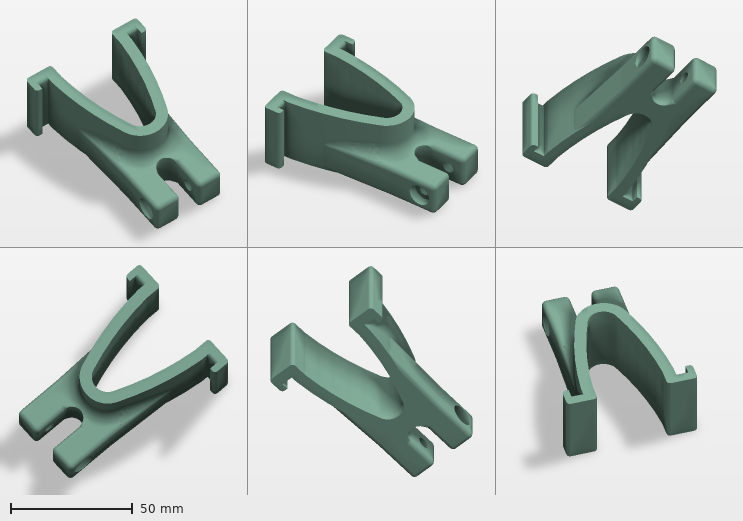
import cadquery as cq
import math

length = 77.0
width = 55.8
height = 30.0

wall = 5.0
tip_radius = 6.55
tip_center_x = 42.0
flank_radius = 128.6
tip_angle = math.radians(22)
flank_start_angle = math.radians(5)

hook_length = 8.0
hook_web = 5.0
lip_thickness = 2.9
corner_radius = 1.55

block_height = 15.0
block_half_width = 16.5
block_edge_radius = 2.0
taper_start_x = 23.1
taper_end_x = 54.8
taper_start_half_width = 17.7
fork_half_gap = 4.6
fork_center_x = 61.45
blend_radius = 5.0
blend_root_depth = 1.55
blend_start_angle = math.radians(11.8)
blend_stations = 6
runout_x = 58.0
runout_y = 3.3
runout_size = 0.04

bolt_x = 69.45
bolt_z = 7.55
bolt_diameter = 5.1
bolt_head_diameter = 9.6
bolt_head_depth = 4.0


def wall_point(angle, offset):
    """Point on the +Y side of the inner wall curve, moved outward by offset.

    The angle is that of the surface normal, measured from +Y towards +X."""
    x, y, radius = tip_center_x, 0.0, tip_radius
    if angle < tip_angle:
        radius = flank_radius
        x -= (flank_radius - tip_radius) * math.sin(tip_angle)
        y -= (flank_radius - tip_radius) * math.cos(tip_angle)
    radius += offset
    return (x + radius * math.sin(angle), y + radius * math.cos(angle))


def mirrored(point):
    return (point[0], -point[1])


def add_curve(sketch, offset):
    """Continue a sketch from the +Y flank start, around the tip, to the -Y flank start."""
    start = wall_point(flank_start_angle, offset)
    middle = wall_point((flank_start_angle + tip_angle) / 2, offset)
    joint = wall_point(tip_angle, offset)
    tip = wall_point(math.pi / 2, offset)
    return (
        sketch.threePointArc(middle, joint)
        .threePointArc(tip, mirrored(joint))
        .threePointArc(mirrored(middle), mirrored(start))
    )


def region_inside(offset, depth):
    """Solid filling the wall curve back to the open end."""
    start = wall_point(flank_start_angle, offset)
    sketch = cq.Workplane("XY").moveTo(0, -start[1]).lineTo(0, start[1]).lineTo(*start)
    return add_curve(sketch, offset).close().extrude(depth)


def box(x0, x1, y0, y1, z1):
    return cq.Workplane("XY").box(x1 - x0, y1 - y0, z1, centered=False).translate((x0, y0, 0))


def make_hook():
    inner_y = wall_point(flank_start_angle, 0)[1]
    slot_y = wall_point(flank_start_angle, wall)[1]
    lip_y = width / 2 - lip_thickness
    hook = box(0, hook_length, inner_y, width / 2, height)
    hook = hook.edges("|Z").edges("<X or >Y").fillet(corner_radius)
    hook = hook.cut(box(hook_web, hook_length, slot_y, lip_y, height))
    rounding = (
        cq.Workplane("XZ", origin=(0, lip_y, 0))
        .moveTo(hook_web, height)
        .lineTo(hook_web, height - corner_radius)
        .radiusArc((hook_web - corner_radius, height), -corner_radius)
        .close()
        .extrude(lip_y - slot_y)
    )
    return hook.cut(rounding)


def make_block():
    """Fork block with all its outer edges rounded and the gap still square-ended."""
    outline = [
        (taper_start_x, -taper_start_half_width),
        (taper_end_x, -block_half_width),
        (length, -block_half_width),
        (length, block_half_width),
        (taper_end_x, block_half_width),
        (taper_start_x, taper_start_half_width),
    ]
    block = cq.Workplane("XY").polyline(outline).close().extrude(block_height)
    block = block.cut(box(fork_center_x, length, -fork_half_gap, fork_half_gap, block_height))
    block = block.edges("|Z and >X").fillet(block_edge_radius)
    rims = block.faces("<Z or >Z").edges("not <X")
    rims = rims.filter(lambda edge: abs(edge.Center().x - fork_center_x) > block_edge_radius)
    return rims.fillet(block_edge_radius)


def make_tip_blend():
    """Concave fillet between the block top and the wall, revolved around the tip."""
    radius = tip_radius + wall
    top = block_height + blend_radius
    profile = (
        cq.Workplane("XZ")
        .moveTo(radius - blend_root_depth, block_height - blend_root_depth)
        .lineTo(radius + blend_radius, block_height - blend_root_depth)
        .lineTo(radius + blend_radius, block_height)
        .radiusArc((radius, top), blend_radius)
        .lineTo(radius - blend_root_depth, top)
        .close()
    )
    blend = profile.revolve(180 - 2 * math.degrees(tip_angle), (0, 0, 0), (0, 1, 0))
    sweep_start = math.degrees(tip_angle) - 90
    return blend.rotate((0, 0, 0), (0, 0, 1), sweep_start).translate((tip_center_x, 0, 0))


def flank_blend_section(angle):
    """Section of the fillet where its ball touches the wall and the rounded block edge."""
    x, y = wall_point(angle, wall)
    center_x, center_y = wall_point(angle, wall + blend_radius)
    slope = (taper_start_half_width - block_half_width) / (taper_end_x - taper_start_x)
    axis_y = block_half_width + slope * (taper_end_x - center_x) - block_edge_radius
    axis_z = block_height - block_edge_radius
    reach = blend_radius + block_edge_radius
    side_step = max(0.0, center_y - axis_y)
    rise = math.sqrt(reach**2 - side_step**2)
    center_z = axis_z + rise
    ball_angle = math.asin(side_step / reach)
    foot = (
        blend_radius * (1 - math.sin(ball_angle)),
        center_z - blend_radius * math.cos(ball_angle),
    )
    middle_angle = (math.pi / 2 + ball_angle) / 2
    middle = (
        blend_radius * (1 - math.sin(middle_angle)),
        center_z - blend_radius * math.cos(middle_angle),
    )
    plane = cq.Plane(
        origin=(x, y, 0),
        xDir=(math.sin(angle), math.cos(angle), 0),
        normal=(math.cos(angle), -math.sin(angle), 0),
    )
    return (
        cq.Workplane(plane)
        .moveTo(-blend_root_depth, foot[1] - blend_root_depth)
        .lineTo(*foot)
        .threePointArc(middle, (0, center_z))
        .lineTo(-blend_root_depth, center_z)
        .close()
        .val()
    )


def make_flank_blend():
    step = (tip_angle - blend_start_angle) / (blend_stations - 1)
    sections = [flank_blend_section(blend_start_angle + i * step) for i in range(blend_stations)]
    return cq.Workplane(cq.Solid.makeLoft(sections))


def make_gap():
    """Round-ended gap between the prongs."""
    end = cq.Workplane("XY").center(fork_center_x, 0).circle(fork_half_gap).extrude(height)
    return box(fork_center_x, length, -fork_half_gap, fork_half_gap, height).union(end)


def gap_edge_section(x, y, size):
    """Waste outside a rounded top edge of the gap, on a plane across X."""
    return (
        cq.Workplane("YZ", origin=(x, y, block_height))
        .moveTo(size, 0)
        .radiusArc((0, -size), -size)
        .lineTo(-size, -size)
        .lineTo(-size, size)
        .lineTo(size, size)
        .close()
    )


def make_gap_edge_cutter():
    """Continues the rounded gap edge of one prong, running out to a point beside the tip."""
    section = gap_edge_section(fork_center_x, fork_half_gap, block_edge_radius)
    point = gap_edge_section(runout_x, runout_y, runout_size)
    return cq.Workplane(cq.Solid.makeLoft([point.val(), section.val()], True))


def both_sides(solid):
    return solid.union(solid.mirror("XZ"))


def make_bolt_hole():
    """Through hole with a counterbore on each outer side."""
    middle = cq.Workplane("XZ", origin=(bolt_x, 0, bolt_z))
    hole = middle.circle(bolt_diameter / 2).extrude(block_half_width, both=True)
    head = (
        middle.workplane(offset=block_half_width - bolt_head_depth)
        .circle(bolt_head_diameter / 2)
        .extrude(bolt_head_depth)
    )
    return hole.union(both_sides(head))


body = region_inside(wall, height)
body = body.union(make_block()).union(make_tip_blend())
body = body.union(both_sides(make_flank_blend()))

body = body.cut(region_inside(0, height)).cut(make_gap())
edge_cutters = both_sides(make_gap_edge_cutter())
bottom_edge_cutters = edge_cutters.mirror("XY", (0, 0, block_height / 2))
body = body.cut(edge_cutters).cut(bottom_edge_cutters)
body = body.cut(make_bolt_hole())

wall_end_y = wall_point(flank_start_angle, wall)[1]
body = body.cut(box(0, hook_web, -wall_end_y, wall_end_y, height))
result = body.union(both_sides(make_hook())).clean()